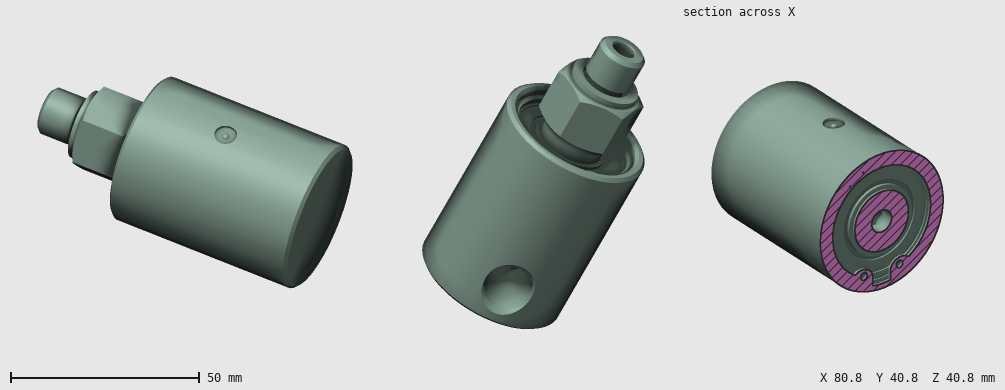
import cadquery as cq
import math

LENGTH = 80.8

thread_dia = 13.2
nose_chamfer = 1.05
thread_end = 9.6
relief_start = 10.1
relief_edge_dia = 11.5
relief_dia = 10.75
collar_start = 11.0
collar_dia = 19.0
collar_bore_dia = 13.5
bore_dia = 6.4
bore_end = 76.8
bore_mouth_dia = 7.1

hex_start = 12.8
hex_end = 26.9
hex_across_flats = 21.75
hex_face_dia = 21.3
hex_chamfer_angle = 30.0
shaft_dia = 17.9

housing_start = 28.3
housing_dia = 40.75
housing_chamfer = 0.9

recess_dia = 35.1
recess_mouth_dia = 36.7
insert_face_dia = 33.95
insert_step = 0.4
insert_lip_dia = 30.7
insert_lip_height = 0.4
seal_pocket_dia = 23.4
seal_pocket_depth = 0.5
seal_dia = 20.45
seal_height = 0.9

groove_dia = 37.5
ring_inner_dia = 32.2
ring_thickness = 1.5
ring_depth = 2.6
ring_gap = 5.65
lug_angle = 21.6
lug_radius = 3.7
lug_hole_dia = 2.0
lug_hole_circle_radius = 15.9

ring_start = housing_start + ring_depth
ring_end = ring_start + ring_thickness
insert_floor = ring_end + insert_lip_height
seal_floor = insert_floor + seal_pocket_depth

oiler_x = 52.95
oiler_dia = 6.0
oiler_floor_z = 19.4
ball_dia = 2.0
ball_height = 0.6

port_x = 69.7
port_dia = 13.2
port_mouth_dia = 16.0


def cylinder_x(diameter, start, end):
    """Cylinder on the X axis between two stations."""
    return cq.Workplane("YZ", origin=(start, 0, 0)).circle(diameter / 2).extrude(end - start)


def revolve_x(points):
    """Solid of revolution about the X axis from (x, radius) points."""
    return cq.Workplane("XY").polyline(points).close().revolve(360, (0, 0, 0), (1, 0, 0))


def make_nose():
    """Chamfered thread with a waisted relief running back to the hexagon."""
    thread_r = thread_dia / 2
    edge_r = relief_edge_dia / 2
    relief_middle = (relief_start + hex_start) / 2
    return (
        cq.Workplane("XY")
        .moveTo(0, 0)
        .lineTo(0, thread_r - nose_chamfer)
        .lineTo(nose_chamfer, thread_r)
        .lineTo(thread_end, thread_r)
        .lineTo(relief_start, edge_r)
        .threePointArc((relief_middle, relief_dia / 2), (hex_start, edge_r))
        .lineTo(hex_start, 0)
        .close()
        .revolve(360, (0, 0, 0), (1, 0, 0))
    )


def make_collar():
    """Washer-like collar on the front of the hexagon, clear of the relief."""
    collar = cylinder_x(collar_dia, collar_start, hex_start)
    return collar.cut(cylinder_x(collar_bore_dia, collar_start, hex_start))


def make_hex():
    """Hexagon with flats facing up and down and chamfered corners on both ends."""
    corner_dia = hex_across_flats / math.cos(math.radians(30))
    prism = (
        cq.Workplane("YZ", origin=(hex_start, 0, 0))
        .polygon(6, corner_dia)
        .extrude(hex_end - hex_start)
    )
    corner_r = corner_dia / 2
    face_r = hex_face_dia / 2
    setback = (corner_r - face_r) * math.tan(math.radians(hex_chamfer_angle))
    envelope = revolve_x([
        (hex_start, 0),
        (hex_start, face_r),
        (hex_start + setback, corner_r),
        (hex_end - setback, corner_r),
        (hex_end, face_r),
        (hex_end, 0),
    ])
    return prism.intersect(envelope)


def make_housing():
    """Chamfered barrel with the stepped recess in its front end."""
    barrel = cylinder_x(housing_dia, housing_start, LENGTH).edges("%CIRCLE").chamfer(housing_chamfer)
    mouth_chamfer = (recess_mouth_dia - recess_dia) / 2
    recess = revolve_x([
        (housing_start, 0),
        (housing_start, recess_mouth_dia / 2),
        (housing_start + mouth_chamfer, recess_dia / 2),
        (ring_start, recess_dia / 2),
        (ring_start, groove_dia / 2),
        (ring_end, groove_dia / 2),
        (ring_end, recess_dia / 2),
        (ring_end + insert_step, recess_dia / 2),
        (ring_end + insert_step, insert_face_dia / 2),
        (ring_end, insert_face_dia / 2),
        (ring_end, insert_lip_dia / 2),
        (insert_floor, insert_lip_dia / 2),
        (insert_floor, seal_pocket_dia / 2),
        (seal_floor, seal_pocket_dia / 2),
        (seal_floor, seal_dia / 2),
        (seal_floor - seal_height, seal_dia / 2),
        (seal_floor - seal_height, 0),
    ])
    return barrel.cut(recess)


def make_retaining_ring():
    """Internal retaining ring, open at the bottom, with two pierced lugs."""
    blank = cylinder_x(groove_dia, ring_start, ring_end)
    ring = blank.cut(cylinder_x(ring_inner_dia, ring_start, ring_end))
    angle = math.radians(lug_angle)
    lug_circle_radius = recess_dia / 2
    for side in (-1, 1):
        direction = (side * math.sin(angle), -math.cos(angle))
        lug_center = tuple(lug_circle_radius * d for d in direction)
        hole_center = tuple(lug_hole_circle_radius * d for d in direction)
        plane = cq.Workplane("YZ", origin=(ring_start, 0, 0))
        lug = plane.center(*lug_center).circle(lug_radius).extrude(ring_thickness)
        hole = plane.center(*hole_center).circle(lug_hole_dia / 2).extrude(ring_thickness)
        ring = ring.union(lug).cut(hole)
    gap = cq.Workplane("XY").box(ring_thickness, ring_gap, groove_dia / 2, centered=(False, True, False))
    gap = gap.translate((ring_start, 0, -groove_dia / 2))
    return ring.intersect(blank).cut(gap)


def make_bore():
    """Axial bore with a chamfered mouth, ending just beyond the port."""
    mouth_chamfer = (bore_mouth_dia - bore_dia) / 2
    return revolve_x([
        (0, 0),
        (0, bore_mouth_dia / 2),
        (mouth_chamfer, bore_dia / 2),
        (bore_end, bore_dia / 2),
        (bore_end, 0),
    ])


def make_port():
    """Countersunk radial port from the underside up to the bore."""
    port_r = port_dia / 2
    mouth_r = port_mouth_dia / 2
    housing_r = housing_dia / 2
    chamfer = mouth_r - port_r
    profile = [
        (0, 0),
        (port_r, 0),
        (port_r, chamfer - housing_r),
        (mouth_r, -housing_r),
        (0, -housing_r),
    ]
    port = cq.Workplane("XZ").polyline(profile).close().revolve(360, (0, 0, 0), (0, 1, 0))
    return port.translate((port_x, 0, 0))


def make_oiler():
    """Shallow hole on top with a ball standing slightly proud of its flat floor."""
    top = housing_dia / 2
    ball_base_r = ball_dia / 2
    ball_curve_r = (ball_base_r**2 + ball_height**2) / (2 * ball_height)
    floor = cq.Workplane("XY", origin=(oiler_x, 0, oiler_floor_z))
    hole = floor.circle(oiler_dia / 2).extrude(top - oiler_floor_z)
    ball_center_z = oiler_floor_z + ball_height - ball_curve_r
    ball = cq.Workplane("XY", origin=(oiler_x, 0, ball_center_z)).sphere(ball_curve_r)
    return hole.cut(ball)


shaft = cylinder_x(shaft_dia, hex_end, seal_floor)
result = (
    make_housing()
    .union(make_retaining_ring())
    .union(shaft)
    .union(make_hex())
    .union(make_collar())
    .union(make_nose())
    .cut(make_bore())
    .cut(make_port())
    .cut(make_oiler())
)